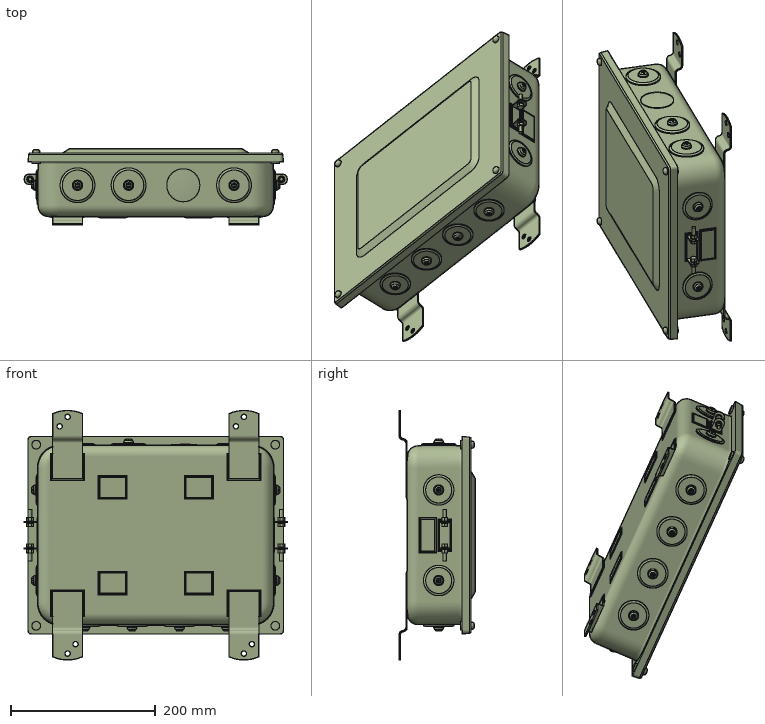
import cadquery as cq
import math

TOTAL_WIDTH = 363.0
TOTAL_DEPTH = 105.5
TOTAL_HEIGHT = 344.62
BOTH_SIDES = (-1, 1)

CROWN_Y = TOTAL_DEPTH / 2
BRACKET_BACK_Y = -TOTAL_DEPTH / 2
CROWN_RISE = 6.0
LID_THICKNESS = 12.5
BODY_DEPTH = 75.7
LID_FRONT_Y = CROWN_Y - CROWN_RISE
LID_BACK_Y = LID_FRONT_Y - LID_THICKNESS
FLOOR_Y = LID_BACK_Y - BODY_DEPTH

BODY_WIDTH = 325.0
BODY_HEIGHT = 247.0
BODY_CORNER_RADIUS = 30.0
FLOOR_EDGE_RADIUS = 15.0
COLLAR_DEPTH = 3.0
COLLAR_FLARE = 0.8

LID_WIDTH = 353.0
LID_HEIGHT = 273.0
LID_CORNER_RADIUS = 5.0
LID_DRAFT_INSET = 1.0
LID_CHAMFER_DEPTH = 2.5
LID_CHAMFER_INSET = 1.2
CROWN_WIDTH = 257.0
CROWN_HEIGHT = 176.0
CROWN_CORNER_RADIUS = 17.0
CROWN_SLOPE_RUN = 10.0

LID_SCREW_X = 165.0
LID_SCREW_Z = 125.0
LID_SCREW_HEAD_DIAMETER = 10.0
LID_SCREW_HEAD_HEIGHT = 4.5
LID_SCREW_HEAD_EDGE = 3.0
LID_SCREW_END_DIAMETER = 12.0
LID_SCREW_END_HEIGHT = 2.5

BRACKET_X = 121.7
BRACKET_WIDTH = 41.5
BRACKET_SHEET = 2.0
BRACKET_FOOT_Z = 78.0
BRACKET_JOG_Z = 127.3
BRACKET_JOG_LENGTH = 10.0
BRACKET_END_RADIUS = 50.0
BRACKET_HOLE_DIAMETER = 7.0
BRACKET_END_HOLE_INSET = 9.0
BRACKET_SIDE_HOLE_INSET = 22.0
BRACKET_SIDE_HOLE_OFFSET = 11.0

BEAD_WIDTH = 2.5
BEAD_HEIGHT = 1.2
BEAD_CHAMFER = 1.0
BRACKET_BEAD_RUNOUT = 4.0
BRACKET_BEAD_EMBED = 1.0
PAD_HEIGHT = 1.5
FLOOR_PAD_X = 59.5
FLOOR_PAD_Z = 66.0
FLOOR_PAD_WIDTH = 40.0
FLOOR_PAD_HEIGHT = 32.5

ENTRY_Y = 2.0
TOP_ENTRY_XS = (-108.0, -37.5, 108.0)
TOP_CAP_X = 38.0
BOTTOM_ENTRY_XS = (-98.0, -32.7, 32.7, 98.0)
SIDE_ENTRY_Z = 62.5
TOP_ENTRY_DIAMETER = 48.0
SMALL_ENTRY_DIAMETER = 42.0
TOP_PLATE_HEIGHT = 3.2
SMALL_PLATE_HEIGHT = 2.5
PLATE_RIM_HEIGHT = 1.5
PLATE_RIM_WIDTH = 3.0
CAP_DIAMETER = 45.6
CAP_EDGE_HEIGHT = 1.0
CAP_DOME_RISE = 1.3
ENTRY_SCREW_DIAMETER = 14.0
ENTRY_SCREW_NECK_DIAMETER = 11.5
ENTRY_SCREW_TOP_DIAMETER = 7.0
ENTRY_SCREW_RIM_HEIGHT = 1.5
ENTRY_SCREW_NECK_HEIGHT = 4.0
ENTRY_SCREW_HEIGHT = 6.3
CROSS_LENGTH = 6.0
CROSS_WIDTH = 1.5
CROSS_DEPTH = 2.0

REAR_PAD_Y = -13.0
REAR_PAD_DEPTH = 24.0
REAR_PAD_HEIGHT = 49.0
LUG_PAD_DEPTH = 19.0
LUG_PAD_HEIGHT = 44.5
LUG_Y = 10.3
LUG_Z = 18.2
LUG_THICKNESS = 1.5
LUG_DEPTH = 14.0
LUG_CORNER_RADIUS = 6.0
BOLT_INSET = 8.0
BOLT_DIAMETER = 5.0
BOLT_OUTER_Z = 35.7
WASHER_DIAMETER = 9.0
WASHER_THICKNESS = 1.0
NUT_ACROSS_FLATS = 8.0
NUT_THICKNESS = 4.5


def slab(width, height, back_y, thickness):
    """Rectangular plate in XZ centred on the Y axis, growing from back_y toward +Y."""
    return cq.Workplane("XZ", origin=(0, back_y, 0)).rect(width, height).extrude(-thickness)


def frustum_plate(base_width, base_height, base_radius, inset, back_y, thickness):
    """Round-cornered plate whose front outline is inset from its back outline (negative: larger)."""
    half_angle = math.degrees(math.atan2(inset, thickness))
    plate = cq.Workplane("XZ", origin=(0, back_y, 0)).sketch()
    plate = plate.rect(base_width, base_height).vertices().fillet(base_radius).finalize()
    return plate.extrude(-thickness, taper=half_angle)


def turned(points):
    """Solid of revolution about Z from (radius, height) points that start and end on the axis."""
    return cq.Workplane("XZ").polyline(points).close().revolve(360, (0, 0, 0), (0, 1, 0))


def on_top(shape, x):
    return shape.translate((x, ENTRY_Y, BODY_HEIGHT / 2))


def on_bottom(shape, x):
    return shape.rotate((0, 0, 0), (1, 0, 0), 180).translate((x, ENTRY_Y, -BODY_HEIGHT / 2))


def on_side(shape, side, y, z):
    turned_shape = shape.rotate((0, 0, 0), (0, 1, 0), side * 90)
    return turned_shape.translate((side * BODY_WIDTH / 2, y, z))


def box_body():
    body = slab(BODY_WIDTH, BODY_HEIGHT, FLOOR_Y, BODY_DEPTH)
    body = body.edges("|Y").fillet(BODY_CORNER_RADIUS).faces("<Y").edges().fillet(FLOOR_EDGE_RADIUS)
    collar_y = LID_BACK_Y - COLLAR_DEPTH
    collar = frustum_plate(
        BODY_WIDTH, BODY_HEIGHT, BODY_CORNER_RADIUS, -COLLAR_FLARE, collar_y, COLLAR_DEPTH
    )
    return body.union(collar)


def lid():
    skirt_thickness = LID_THICKNESS - LID_CHAMFER_DEPTH
    skirt = frustum_plate(
        LID_WIDTH, LID_HEIGHT, LID_CORNER_RADIUS, LID_DRAFT_INSET, LID_BACK_Y, skirt_thickness
    )
    rim = frustum_plate(
        LID_WIDTH - 2 * LID_DRAFT_INSET,
        LID_HEIGHT - 2 * LID_DRAFT_INSET,
        LID_CORNER_RADIUS - LID_DRAFT_INSET,
        LID_CHAMFER_INSET,
        LID_FRONT_Y - LID_CHAMFER_DEPTH,
        LID_CHAMFER_DEPTH,
    )
    crown = frustum_plate(
        CROWN_WIDTH, CROWN_HEIGHT, CROWN_CORNER_RADIUS, CROWN_SLOPE_RUN, LID_FRONT_Y, CROWN_RISE
    )
    return skirt.union(rim).union(crown)


def lid_screw():
    """Screw through the lid: a rounded head in front and a flat round end behind it."""
    head = cq.Workplane("XZ", origin=(0, LID_FRONT_Y, 0)).circle(LID_SCREW_HEAD_DIAMETER / 2)
    head = head.extrude(-LID_SCREW_HEAD_HEIGHT).faces(">Y").edges().fillet(LID_SCREW_HEAD_EDGE)
    end = cq.Workplane("XZ", origin=(0, LID_BACK_Y, 0))
    return head.union(end.circle(LID_SCREW_END_DIAMETER / 2).extrude(LID_SCREW_END_HEIGHT))


def bracket():
    """Upper bracket at X = 0: a strip welded to the floor that jogs back and ends in an arc."""
    jog = FLOOR_Y - BRACKET_SHEET - BRACKET_BACK_Y
    bend_angle = 2 * math.atan2(jog, BRACKET_JOG_LENGTH)
    mid_radius = BRACKET_JOG_LENGTH / (2 * math.sin(bend_angle))
    inner = mid_radius - BRACKET_SHEET / 2
    outer = mid_radius + BRACKET_SHEET / 2
    top_z = TOTAL_HEIGHT / 2
    jog_end_z = BRACKET_JOG_Z + BRACKET_JOG_LENGTH
    first_centre_y = FLOOR_Y - BRACKET_SHEET - inner
    second_centre_y = BRACKET_BACK_Y + BRACKET_SHEET + inner

    def first_bend(radius, angle):
        return (first_centre_y + radius * math.cos(angle), BRACKET_JOG_Z + radius * math.sin(angle))

    def second_bend(radius, angle):
        return (second_centre_y - radius * math.cos(angle), jog_end_z - radius * math.sin(angle))

    half_bend = bend_angle / 2
    strip = (
        cq.Workplane("YZ", origin=(-BRACKET_WIDTH / 2, 0, 0))
        .moveTo(FLOOR_Y, BRACKET_FOOT_Z)
        .lineTo(FLOOR_Y, BRACKET_JOG_Z)
        .threePointArc(first_bend(outer, half_bend), first_bend(outer, bend_angle))
        .threePointArc(second_bend(inner, half_bend), second_bend(inner, 0))
        .lineTo(BRACKET_BACK_Y + BRACKET_SHEET, top_z)
        .lineTo(BRACKET_BACK_Y, top_z)
        .lineTo(BRACKET_BACK_Y, jog_end_z)
        .threePointArc(second_bend(outer, half_bend), second_bend(outer, bend_angle))
        .threePointArc(first_bend(inner, half_bend), first_bend(inner, 0))
        .lineTo(FLOOR_Y - BRACKET_SHEET, BRACKET_FOOT_Z)
        .close()
        .extrude(BRACKET_WIDTH)
    )
    half_width = BRACKET_WIDTH / 2
    shoulder_z = top_z - BRACKET_END_RADIUS + math.sqrt(BRACKET_END_RADIUS**2 - half_width**2)
    outline = (
        cq.Workplane("XZ", origin=(0, FLOOR_Y, 0))
        .moveTo(-half_width, BRACKET_FOOT_Z)
        .lineTo(half_width, BRACKET_FOOT_Z)
        .lineTo(half_width, shoulder_z)
        .threePointArc((0, top_z), (-half_width, shoulder_z))
        .close()
        .extrude(FLOOR_Y - BRACKET_BACK_Y)
    )
    holes = (
        cq.Workplane("XZ", origin=(0, FLOOR_Y, 0))
        .pushPoints(
            [
                (0, top_z - BRACKET_END_HOLE_INSET),
                (-BRACKET_SIDE_HOLE_OFFSET, top_z - BRACKET_SIDE_HOLE_INSET),
            ]
        )
        .circle(BRACKET_HOLE_DIAMETER / 2)
        .extrude(FLOOR_Y - BRACKET_BACK_Y)
    )
    bead_top_z = BODY_HEIGHT / 2 - FLOOR_EDGE_RADIUS + BRACKET_BEAD_RUNOUT
    bead_bottom_z = BRACKET_FOOT_Z - BEAD_WIDTH
    bead = slab(
        BRACKET_WIDTH + 2 * BEAD_WIDTH,
        bead_top_z - bead_bottom_z,
        FLOOR_Y - BEAD_HEIGHT,
        BEAD_HEIGHT + BRACKET_BEAD_EMBED,
    )
    bead = bead.faces("<Y").edges().chamfer(BEAD_CHAMFER)
    bead = bead.translate((0, 0, (bead_top_z + bead_bottom_z) / 2))
    return strip.intersect(outline).cut(holes).union(bead)


def welded_pad(size_x, size_y):
    """Rectangular pad on the XY plane with a lower weld bead around it; sizes include the bead."""
    bead = cq.Workplane("XY").rect(size_x, size_y).extrude(BEAD_HEIGHT)
    bead = bead.faces(">Z").edges().chamfer(BEAD_CHAMFER)
    pad = cq.Workplane("XY").rect(size_x - 2 * BEAD_WIDTH, size_y - 2 * BEAD_WIDTH).extrude(PAD_HEIGHT)
    return bead.union(pad)


def cable_entry(plate_diameter, plate_height):
    """Blanked entry on the XY plane: a round plate held by a cross-recessed screw."""
    plate_radius = plate_diameter / 2
    head_radius = ENTRY_SCREW_DIAMETER / 2
    neck_radius = ENTRY_SCREW_NECK_DIAMETER / 2
    top_radius = ENTRY_SCREW_TOP_DIAMETER / 2
    head_top = plate_height + ENTRY_SCREW_HEIGHT
    entry = turned(
        [
            (0, 0),
            (plate_radius, 0),
            (plate_radius, PLATE_RIM_HEIGHT),
            (plate_radius - PLATE_RIM_WIDTH, plate_height),
            (head_radius, plate_height),
            (head_radius, plate_height + ENTRY_SCREW_RIM_HEIGHT),
            (neck_radius, plate_height + ENTRY_SCREW_NECK_HEIGHT),
            (top_radius, head_top),
            (0, head_top),
        ]
    )
    recess_floor = cq.Workplane("XY", origin=(0, 0, head_top - CROSS_DEPTH))
    for angle in (0, 90):
        slot = recess_floor.rect(CROSS_LENGTH, CROSS_WIDTH).extrude(CROSS_DEPTH)
        entry = entry.cut(slot.rotate((0, 0, 0), (0, 0, 1), angle))
    return entry


def domed_cap():
    """Low round cap with a shallow spherical top that closes the unused entry."""
    radius = CAP_DIAMETER / 2
    sphere_radius = (radius**2 + CAP_DOME_RISE**2) / (2 * CAP_DOME_RISE)
    half_angle = math.asin(radius / sphere_radius) / 2
    top = CAP_EDGE_HEIGHT + CAP_DOME_RISE
    mid_point = (sphere_radius * math.sin(half_angle), top - sphere_radius * (1 - math.cos(half_angle)))
    profile = cq.Workplane("XZ").lineTo(radius, 0).lineTo(radius, CAP_EDGE_HEIGHT)
    profile = profile.threePointArc(mid_point, (0, top)).close()
    return profile.revolve(360, (0, 0, 0), (0, 1, 0))


def hinge_lug(side):
    """Upper lug of one side: a rounded ear with a bolt along Z, its washers, nut and head."""
    bolt_x = side * (TOTAL_WIDTH / 2 - BOLT_INSET)
    ear_length = (TOTAL_WIDTH - BODY_WIDTH) / 2
    ear_x = side * (TOTAL_WIDTH - ear_length) / 2
    outer_edges = ">X and |Z" if side > 0 else "<X and |Z"
    ear_bottom = LUG_Z - LUG_THICKNESS / 2
    ear_top = LUG_Z + LUG_THICKNESS / 2

    def disc(diameter, bottom, height):
        return cq.Workplane("XY", origin=(bolt_x, LUG_Y, bottom)).circle(diameter / 2).extrude(height)

    def hexagon(bottom):
        corner_diameter = NUT_ACROSS_FLATS / math.cos(math.pi / 6)
        plane = cq.Workplane("XY", origin=(bolt_x, LUG_Y, bottom))
        return plane.polygon(6, corner_diameter).extrude(NUT_THICKNESS)

    lug = cq.Workplane("XY", origin=(ear_x, LUG_Y, ear_bottom)).rect(ear_length, LUG_DEPTH)
    lug = lug.extrude(LUG_THICKNESS).edges(outer_edges).fillet(LUG_CORNER_RADIUS)
    lug = lug.union(disc(WASHER_DIAMETER, ear_top, WASHER_THICKNESS))
    lug = lug.union(disc(WASHER_DIAMETER, ear_bottom - WASHER_THICKNESS, WASHER_THICKNESS))
    lug = lug.union(hexagon(ear_top + WASHER_THICKNESS))
    lug = lug.union(hexagon(ear_bottom - WASHER_THICKNESS - NUT_THICKNESS))
    return lug.union(disc(BOLT_DIAMETER, ear_top, BOLT_OUTER_Z - ear_top))


def add_lid_screws(part):
    for side in BOTH_SIDES:
        for level in BOTH_SIDES:
            part = part.union(lid_screw().translate((side * LID_SCREW_X, 0, level * LID_SCREW_Z)))
    return part


def add_floor_fittings(part):
    pad = welded_pad(FLOOR_PAD_WIDTH, FLOOR_PAD_HEIGHT).rotate((0, 0, 0), (1, 0, 0), 90)
    upper_bracket = bracket()
    lower_bracket = upper_bracket.rotate((0, 0, 0), (0, 1, 0), 180)
    for side in BOTH_SIDES:
        part = part.union(upper_bracket.translate((side * BRACKET_X, 0, 0)))
        part = part.union(lower_bracket.translate((side * BRACKET_X, 0, 0)))
        for level in BOTH_SIDES:
            part = part.union(pad.translate((side * FLOOR_PAD_X, FLOOR_Y, level * FLOOR_PAD_Z)))
    return part


def add_cable_entries(part):
    top_entry = cable_entry(TOP_ENTRY_DIAMETER, TOP_PLATE_HEIGHT)
    small_entry = cable_entry(SMALL_ENTRY_DIAMETER, SMALL_PLATE_HEIGHT)
    for x in TOP_ENTRY_XS:
        part = part.union(on_top(top_entry, x))
    part = part.union(on_top(domed_cap(), TOP_CAP_X))
    for x in BOTTOM_ENTRY_XS:
        part = part.union(on_bottom(small_entry, x))
    for side in BOTH_SIDES:
        for level in BOTH_SIDES:
            part = part.union(on_side(small_entry, side, ENTRY_Y, level * SIDE_ENTRY_Z))
    return part


def add_side_fittings(part):
    rear_pad = welded_pad(REAR_PAD_HEIGHT, REAR_PAD_DEPTH)
    lug_pad = welded_pad(LUG_PAD_HEIGHT, LUG_PAD_DEPTH)
    for side in BOTH_SIDES:
        part = part.union(on_side(rear_pad, side, REAR_PAD_Y, 0))
        part = part.union(on_side(lug_pad, side, LUG_Y, 0))
        lug = hinge_lug(side)
        part = part.union(lug).union(lug.mirror("XY"))
    return part


result = box_body().union(lid())
result = add_lid_screws(result)
result = add_floor_fittings(result)
result = add_cable_entries(result)
result = add_side_fittings(result)